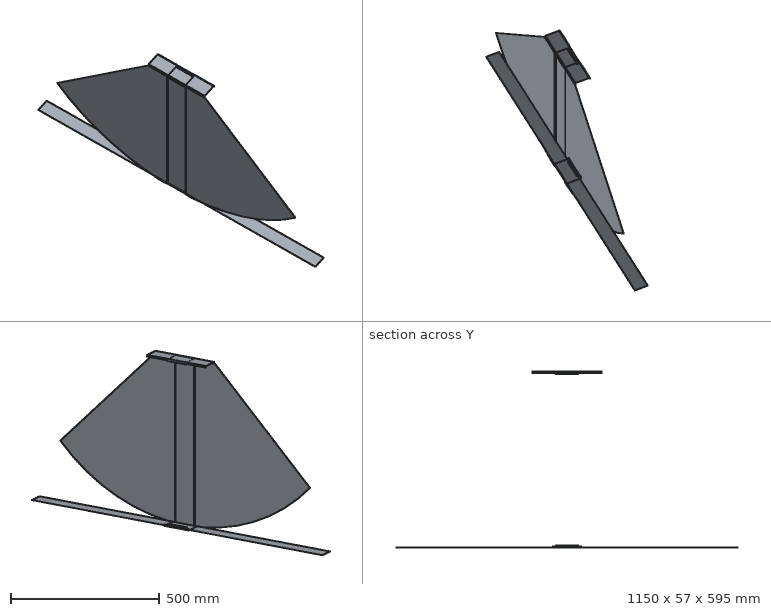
import cadquery as cq
import math

height = 595.0
depth = 57.0
sheet = 1.0

channel_depth = 2.0
channel_floor_half_width = 38.0
channel_wall_run = 2.5
channel_mouth_half_width = channel_floor_half_width + channel_wall_run

fan_half_width = 494.0
fan_corner_z = 212.0
fan_foot_half_width = 68.0
fan_top_z = 588.0

flange_half_width = 116.5
tongue_half_width = 48.0
lip_height = 6.0
channel_lip_height = 9.0

slot_width = 72.0
slot_bottom_z = 581.0
slot_top_z = 593.5
slot_corner_radius = 2.5

frame_half_width = 36.0
frame_front_y = channel_depth + sheet
frame_back_y = 48.0
frame_lip_height = 7.0
frame_top_clearance = 2.0
foot_length = 1150.0
foot_back_y = 51.5


def block(half_width, y_range, z_range):
    """Box centred on x = 0 that fills the given y and z ranges."""
    size_y = y_range[1] - y_range[0]
    size_z = z_range[1] - z_range[0]
    box = cq.Workplane("XY").box(2 * half_width, size_y, size_z, centered=(True, False, False))
    return box.translate((0, y_range[0], z_range[0]))


def fan_panel():
    """Flat fan: 45 degree sides, cut off at the top, on a wide arc with a short straight foot."""
    top_half_width = fan_half_width - (fan_top_z - fan_corner_z)
    corner_rise = fan_half_width**2 + fan_corner_z**2 - fan_foot_half_width**2
    arc_centre_z = corner_rise / (2 * fan_corner_z)
    arc_radius = math.hypot(fan_foot_half_width, arc_centre_z)
    foot_angle = math.atan2(fan_foot_half_width, arc_centre_z)
    corner_angle = math.atan2(fan_half_width, arc_centre_z - fan_corner_z)
    mid_angle = (foot_angle + corner_angle) / 2
    mid_x = arc_radius * math.sin(mid_angle)
    mid_z = arc_centre_z - arc_radius * math.cos(mid_angle)
    outline = (
        cq.Workplane("XZ")
        .moveTo(-fan_foot_half_width, 0)
        .lineTo(fan_foot_half_width, 0)
        .threePointArc((mid_x, mid_z), (fan_half_width, fan_corner_z))
        .lineTo(top_half_width, fan_top_z)
        .lineTo(-top_half_width, fan_top_z)
        .lineTo(-fan_half_width, fan_corner_z)
        .threePointArc((-mid_x, mid_z), (-fan_foot_half_width, 0))
        .close()
    )
    return outline.extrude(-sheet)


def channel_groove(face_y, inward):
    """Full-height trapezoid groove sunk from the plane y = face_y; inward is +1 or -1 along y."""
    floor_y = face_y + inward * channel_depth
    outline = [
        (-channel_mouth_half_width, face_y),
        (-channel_floor_half_width, floor_y),
        (channel_floor_half_width, floor_y),
        (channel_mouth_half_width, face_y),
    ]
    return cq.Workplane("XY").polyline(outline).close().extrude(height)


def envelope(inset):
    """Solid block bounded by the folded sheet, shrunk by the inset in y and z."""
    front_y = inset
    back_y = depth - inset
    bottom_z = inset
    top_z = height - inset
    step_z = fan_top_z - inset
    profile = [
        (front_y, bottom_z),
        (front_y, step_z),
        (front_y + channel_depth, step_z + channel_depth),
        (front_y + channel_depth, top_z),
        (back_y - channel_depth, top_z),
        (back_y, top_z - channel_depth),
        (back_y, bottom_z + channel_depth),
        (back_y - channel_depth, bottom_z),
    ]
    body = cq.Workplane("YZ").polyline(profile).close().extrude(flange_half_width, both=True)
    return body.cut(channel_groove(front_y, 1)).cut(channel_groove(back_y, -1))


def channel_slot():
    """Rounded slot through the channel floor."""
    slot = block(slot_width / 2, (0, frame_front_y), (slot_bottom_z, slot_top_z))
    return slot.edges("|Y").fillet(slot_corner_radius)


def make_fan():
    """Fan sheet with its recessed channel, top flange, bottom tongue and rear lips."""
    folded = envelope(0).cut(envelope(sheet))

    lip_range = (depth - frame_front_y, depth)
    side_opening = block(flange_half_width, lip_range, (lip_height, height - lip_height))
    channel_lips = block(channel_floor_half_width, lip_range, (0, height))
    channel_opening = block(
        channel_floor_half_width, lip_range, (channel_lip_height, height - channel_lip_height)
    )
    folded = folded.cut(side_opening.cut(channel_lips)).cut(channel_opening)

    channel = folded.intersect(block(channel_mouth_half_width, (0, depth), (0, height)))
    flange = folded.intersect(block(flange_half_width, (0, depth), (fan_top_z - sheet, height)))
    tongue = folded.intersect(block(tongue_half_width, (0, depth), (0, channel_lip_height)))
    wings = fan_panel().cut(block(channel_mouth_half_width, (0, sheet), (0, height)))
    return channel.union(flange).union(tongue).union(wings).cut(channel_slot()).solids()


def make_frame():
    """C-shaped frame with inturned lips, standing on a long foot strip."""
    bottom_z = sheet
    top_z = height - sheet - frame_top_clearance
    lip_front_y = frame_back_y - sheet
    frame = block(frame_half_width, (frame_front_y, frame_back_y), (bottom_z, top_z))
    inside = block(frame_half_width, (frame_front_y + sheet, lip_front_y), (bottom_z + sheet, top_z - sheet))
    back_opening = block(
        frame_half_width, (lip_front_y, frame_back_y), (bottom_z + frame_lip_height, top_z - frame_lip_height)
    )
    foot = block(foot_length / 2, (frame_front_y, foot_back_y), (bottom_z, bottom_z + sheet))
    return frame.cut(inside).cut(back_opening).union(foot).solids()


fan = make_fan()
frame = make_frame()
result = cq.Compound.makeCompound([fan.val(), frame.val()])